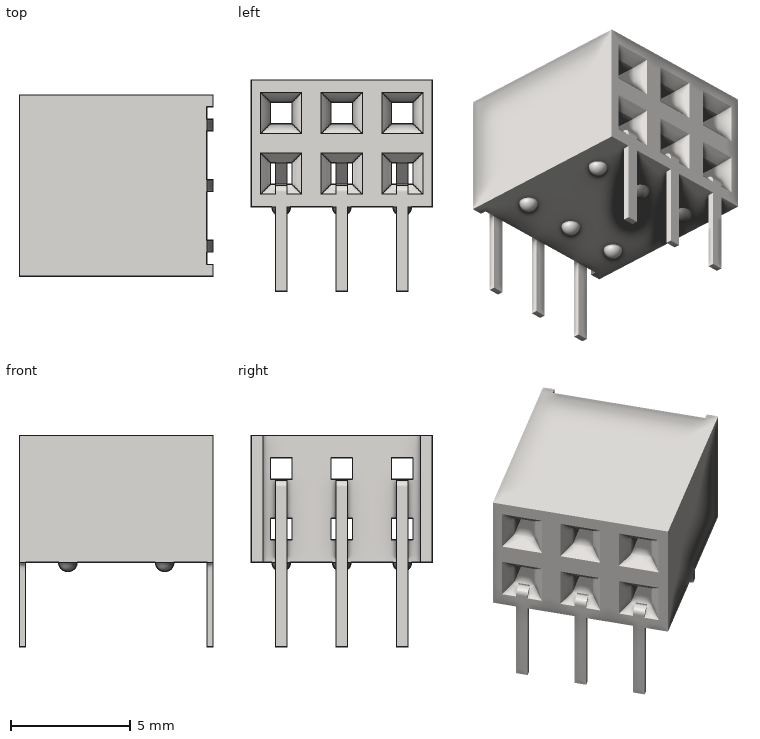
import cadquery as cq
import math


columns = 3
pitch = 2.54
length_x = 8.13
width_y = 7.62
body_height = 5.33
half_length = length_x / 2

rib_width = 0.5

socket_size = 0.89
mouth_size = 1.725
lead_in_depth = 0.4
lower_row_z = (body_height - pitch) / 2
upper_row_z = lower_row_z + pitch
column_places = [(i - (columns - 1) / 2) * pitch for i in range(columns)]

pin_width = 0.5
pin_thickness = 0.26
pin_bend_radius = 0.27
pin_drop = 3.56
pin_run = 0.89
pin_below_socket_floor = 0.06
recess_depth = pin_thickness

dome_radius = 0.39
dome_x = length_x / 4


def make_body():
    """Block with a full-height recess between the two back ribs."""
    block = cq.Workplane("XY").box(length_x, width_y, body_height, centered=(True, True, False))
    recess = (
        cq.Workplane("XY")
        .center(half_length - recess_depth / 2, 0)
        .rect(recess_depth, width_y - 2 * rib_width)
        .extrude(body_height)
    )
    return block.cut(recess)


def make_socket(y, z):
    """Square hole through the body with a tapered mouth at the front."""
    front_face = cq.Workplane("YZ", origin=(-half_length, y, z))
    hole = front_face.rect(socket_size, socket_size).extrude(length_x)
    mouth = (
        front_face.rect(mouth_size, mouth_size)
        .workplane(offset=lead_in_depth)
        .rect(socket_size, socket_size)
        .loft(ruled=True)
    )
    return hole.union(mouth)


def pin_top(row_z):
    """Height of the level run of a pin, just below the floor of its socket."""
    return row_z - socket_size / 2 - pin_below_socket_floor


def make_pin_notch(y):
    """Notch in the floor of a lower mouth that bares the level run of the pin up to the socket."""
    return (
        cq.Workplane("XY", origin=(-half_length + lead_in_depth / 2, y, pin_top(lower_row_z)))
        .rect(lead_in_depth, pin_width)
        .extrude(pin_below_socket_floor)
    )


def make_pin(y, row_z, side):
    """Pin that rises on one face (side -1 front, +1 back) and bends into the body below a socket."""
    top = pin_top(row_z)
    bend_base = top - pin_bend_radius
    inner_radius = pin_bend_radius - pin_thickness
    diagonal = math.sqrt(0.5)

    def point(inward, z):
        return (side * (half_length - inward), z)

    def bend_middle(radius):
        return point(pin_bend_radius - radius * diagonal, bend_base + radius * diagonal)

    return (
        cq.Workplane("XZ", origin=(0, y + pin_width / 2, 0))
        .moveTo(*point(0, -pin_drop))
        .lineTo(*point(0, bend_base))
        .threePointArc(bend_middle(pin_bend_radius), point(pin_bend_radius, top))
        .lineTo(*point(pin_run, top))
        .lineTo(*point(pin_run, top - pin_thickness))
        .lineTo(*point(pin_bend_radius, top - pin_thickness))
        .threePointArc(bend_middle(inner_radius), point(pin_thickness, bend_base))
        .lineTo(*point(pin_thickness, -pin_drop))
        .close()
        .extrude(pin_width)
    )


result = make_body()

for column_y in column_places:
    for socket_z in (lower_row_z, upper_row_z):
        result = result.cut(make_socket(column_y, socket_z))
    result = result.cut(make_pin_notch(column_y))

for column_y in column_places:
    result = result.union(make_pin(column_y, lower_row_z, -1))
    result = result.union(make_pin(column_y, upper_row_z, 1))

    for side in (-1, 1):
        dome = cq.Workplane("XY", origin=(side * dome_x, column_y, 0)).sphere(dome_radius)
        result = result.union(dome)